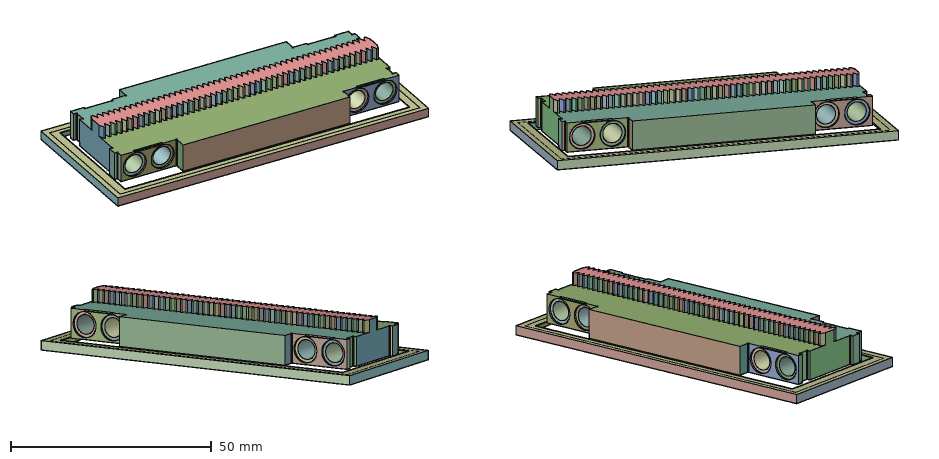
import cadquery as cq
FRAME_WIDTH = 38.4
FRAME_LENGTH = 89.4
FRAME_HEIGHT = 2.4
FRAME_WALL = 1.6
FLANGE_THICKNESS = 0.2
OPENING_WIDTH = 32.4
OPENING_LENGTH = 81.8

BLOCK_LENGTH = 80.0
BLOCK_HEIGHT = 7.6
MIDDLE_WIDTH = 31.8
MIDDLE_LENGTH = 48.0
END_WIDTH = 25.3
BLOCK_TOP = FRAME_HEIGHT + BLOCK_HEIGHT

KEY_X = 9.6
TAB_WIDTH = 2.7
TAB_LENGTH = 0.8
NOTCH_WIDTH = 3.0
NOTCH_DEPTH = 0.9

RELIEF_RADIUS = 0.2

HOLE_DIAMETER = 5.0
COUNTERBORE_DIAMETER = 6.6
COUNTERBORE_DEPTH = 0.5
HOLE_SPACING = 8.05
HOLE_PAIR_Y = 32.0
HOLE_Z = FRAME_HEIGHT + BLOCK_HEIGHT / 2

LEDGE_DEPTH = 0.4

RACK_HEIGHT = 3.2
RACK_TIP_X = 3.2
RACK_ROOT_X = 1.7
TOOTH_TIP_FLAT = 0.45
TOOTH_COUNT = 50
TOOTH_PITCH = BLOCK_LENGTH / TOOTH_COUNT


def make_box(width, length, height, x, y, z_bottom):
    """Box centred on x and y, standing on z_bottom."""
    return cq.Workplane("XY").box(width, length, height, (True, True, False)).translate((x, y, z_bottom))


def make_frame():
    """Rectangular ring, hollowed from below to leave the outer wall and the flange."""
    ring = cq.Workplane("XY").rect(FRAME_WIDTH, FRAME_LENGTH).rect(OPENING_WIDTH, OPENING_LENGTH)
    underside = make_box(
        FRAME_WIDTH - 2 * FRAME_WALL, FRAME_LENGTH - 2 * FRAME_WALL, FRAME_HEIGHT - FLANGE_THICKNESS, 0, 0, 0
    )
    return ring.extrude(FRAME_HEIGHT).cut(underside)


def block_with_keys():
    """Stepped block with one tab and one notch per end; the ends match under a half turn about Z."""
    block = make_box(END_WIDTH, BLOCK_LENGTH, BLOCK_HEIGHT, 0, 0, FRAME_HEIGHT)
    block = block.union(make_box(MIDDLE_WIDTH, MIDDLE_LENGTH, BLOCK_HEIGHT, 0, 0, FRAME_HEIGHT))
    end_y = BLOCK_LENGTH / 2
    for side in (-1, 1):
        block = block.union(
            make_box(TAB_WIDTH, 2 * TAB_LENGTH, BLOCK_HEIGHT, -side * KEY_X, side * end_y, FRAME_HEIGHT)
        )
        block = block.cut(
            make_box(NOTCH_WIDTH, 2 * NOTCH_DEPTH, BLOCK_HEIGHT, side * KEY_X, side * end_y, FRAME_HEIGHT)
        )
    return block


def cut_corner_reliefs(block):
    """Vertical round cuts centred on the inside corners of the steps, tabs and notches."""
    end_y = BLOCK_LENGTH / 2
    corners = []
    for side in (-1, 1):
        corners.append((side * END_WIDTH / 2, MIDDLE_LENGTH / 2))
        corners.append((-KEY_X + side * TAB_WIDTH / 2, end_y))
        corners.append((KEY_X + side * NOTCH_WIDTH / 2, end_y - NOTCH_DEPTH))
    corners += [(-x, -y) for x, y in corners]
    reliefs = cq.Workplane("XY").pushPoints(corners).circle(RELIEF_RADIUS).extrude(BLOCK_HEIGHT)
    return block.cut(reliefs.translate((0, 0, FRAME_HEIGHT)))


def cross_cylinder(diameter, length, x, y):
    """Cylinder along X, centred on x and y at the hole height."""
    cylinder = cq.Workplane("YZ").circle(diameter / 2).extrude(length / 2, both=True)
    return cylinder.translate((x, y, HOLE_Z))


def cut_cross_holes(block):
    for end in (-1, 1):
        for step in (-1, 1):
            y = end * HOLE_PAIR_Y + step * HOLE_SPACING / 2
            block = block.cut(cross_cylinder(HOLE_DIAMETER, END_WIDTH, 0, y))
            for side in (-1, 1):
                face_x = side * END_WIDTH / 2
                block = block.cut(cross_cylinder(COUNTERBORE_DIAMETER, 2 * COUNTERBORE_DEPTH, face_x, y))
    return block


def cut_ledges(block):
    """Cut ledges between the hole axes of each pair, reaching in along X as far as the counterbores."""
    for end in (-1, 1):
        for side in (-1, 1):
            block = block.cut(
                make_box(2 * COUNTERBORE_DEPTH, HOLE_SPACING, LEDGE_DEPTH,
                         side * END_WIDTH / 2, end * HOLE_PAIR_Y, BLOCK_TOP - LEDGE_DEPTH)
            )
    return block


def make_rack():
    """Full-length rack with V roots and flat tips; both ends fall on a root."""
    start_y = -BLOCK_LENGTH / 2
    flank = (TOOTH_PITCH - TOOTH_TIP_FLAT) / 2
    right_side = []
    for tooth in range(TOOTH_COUNT):
        root_y = start_y + tooth * TOOTH_PITCH
        right_side.append((RACK_ROOT_X, root_y))
        right_side.append((RACK_TIP_X, root_y + flank))
        right_side.append((RACK_TIP_X, root_y + flank + TOOTH_TIP_FLAT))
    right_side.append((RACK_ROOT_X, BLOCK_LENGTH / 2))
    left_side = [(-x, y) for x, y in reversed(right_side)]
    rack = cq.Workplane("XY").polyline(right_side + left_side).close().extrude(RACK_HEIGHT)
    return rack.translate((0, 0, BLOCK_TOP))


def make_carriage():
    """Block and rack in one piece, with its underside level with the top of the frame."""
    block = cut_ledges(cut_cross_holes(cut_corner_reliefs(block_with_keys())))
    return block.union(make_rack())


frame = make_frame()
carriage = make_carriage()
result = cq.Compound.makeCompound([frame.val(), carriage.val()])